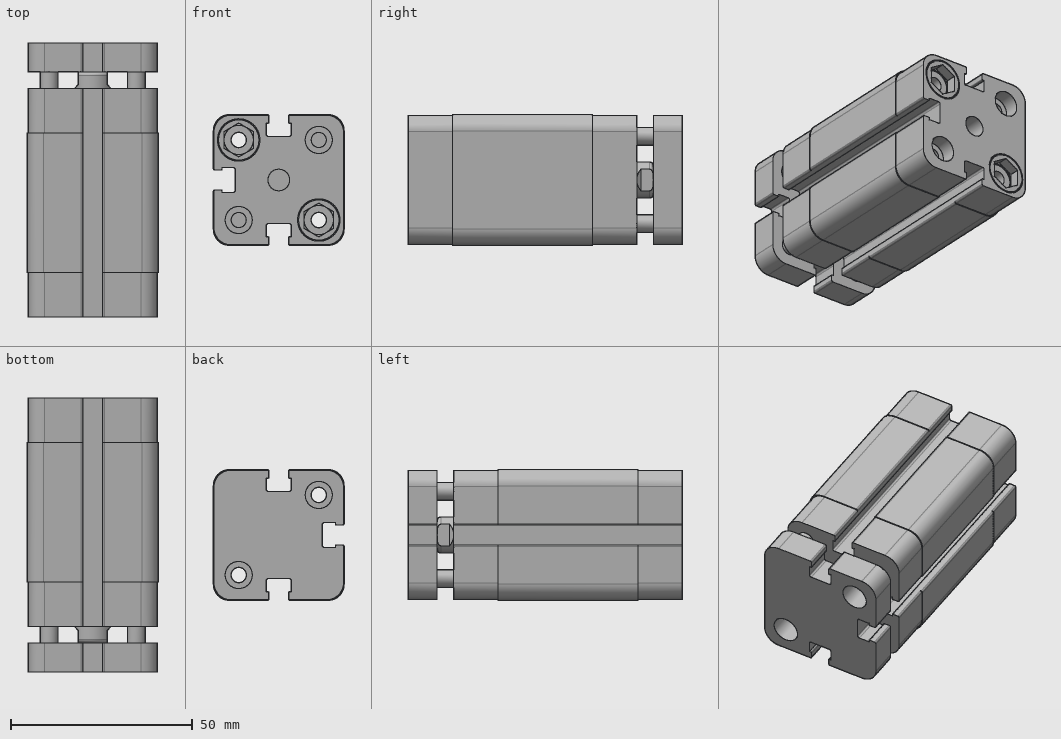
import cadquery as cq
import math

total_length = 75.5
barrel_side = 36.1
cap_side = 35.6
corner_radius = 4.5
plate_thickness = 8.0
rod_gap = 4.5
cap_length = 12.2

plate_start = total_length - plate_thickness
body_end = plate_start - rod_gap
barrel_end = body_end - cap_length

slot_mouth_width = 5.4
slot_inner_width = 6.8
slot_ledge_height = 15.6
slot_floor_height = 12.0
slot_edge_radius = 0.45
slot_floor_radius = 0.5
slot_lip_radius = 0.2
slot_angles = (0, 90, 180)

hole_offset = 11.0
center_hole_diameter = 6.0
center_hole_depth = 9.05
port_diameter = 7.5
port_depth = 4.5
through_diameter = 4.15
pilot_depth = cap_length
groove_outer_diameter = 11.7
groove_inner_diameter = 11.1
groove_depth = 0.75
socket_across_flats = 8.1
socket_depth = 3.0
socket_relief_depth = 3.5
plate_hole_diameter = 7.5

pin_offset = 12.0
pin_diameter = 5.0
rod_diameter = 10.0
rod_across_flats = 8.0
rod_end_radius = 1.0
rod_flat_runout = 1.1

screw_corners = ((-hole_offset, hole_offset), (hole_offset, -hole_offset))
port_corners = ((-hole_offset, -hole_offset), (hole_offset, hole_offset))
pin_corners = ((-pin_offset, -pin_offset), (pin_offset, pin_offset))


def section(y):
    """Sketch plane across the cylinder at y: local x is X, local y is Z, negative extrusion runs toward +Y."""
    return cq.Workplane(cq.Plane(origin=(0, y, 0), xDir=(1, 0, 0), normal=(0, -1, 0)))


def rod(points, diameter, start, end):
    """Round bars along Y, from start to end."""
    return section(start).pushPoints(points).circle(diameter / 2).extrude(start - end)


def block(side, start, end):
    """Square bar with rounded corners."""
    bar = section(start).rect(side, side).extrude(start - end)
    return bar.edges("|Y").fillet(corner_radius)


def slot(side, start, end):
    """T-slot cutter in the top side, with a rounded mouth, rounded lips and rounded floor corners."""
    surface = side / 2
    half_width = slot_mouth_width / 2
    flare = half_width + slot_edge_radius
    shoulder = surface - slot_edge_radius
    arc_inset = slot_edge_radius * (1 - math.sqrt(0.5))
    mouth = (
        section(start)
        .moveTo(-flare, surface)
        .threePointArc((-half_width - arc_inset, surface - arc_inset), (-half_width, shoulder))
        .lineTo(-half_width, slot_floor_height)
        .lineTo(half_width, slot_floor_height)
        .lineTo(half_width, shoulder)
        .threePointArc((half_width + arc_inset, surface - arc_inset), (flare, surface))
        .close()
        .extrude(start - end)
    )
    height = slot_ledge_height - slot_floor_height
    inner = (
        section(start)
        .center(0, slot_floor_height + height / 2)
        .rect(slot_inner_width, height)
        .extrude(start - end)
        .edges("|Y and <Z")
        .fillet(slot_floor_radius)
    )
    cutter = mouth.union(inner)
    middle = (start + end) / 2
    for x in (-half_width, half_width):
        lip_edge = cq.NearestToPointSelector((x, middle, slot_ledge_height))
        cutter = cutter.edges(lip_edge).fillet(slot_lip_radius)
    return cutter


def slotted_block(side, start, end):
    """Length of the square profile with its T-slots."""
    bar = block(side, start, end)
    cutter = slot(side, start, end)
    for angle in slot_angles:
        bar = bar.cut(cutter.rotate((0, 0, 0), (0, 1, 0), -angle))
    return bar


def piston_rod():
    """Piston rod with a rounded end and two wrench flats that slope out to the full diameter."""
    bar = rod([(0, 0)], rod_diameter, body_end, plate_start)
    bar = bar.faces(">Y").edges().fillet(rod_end_radius)
    flat = rod_across_flats / 2
    rise = rod_diameter / 2 - flat
    cutter = (
        cq.Workplane("XY")
        .moveTo(flat, plate_start)
        .lineTo(flat, body_end + rod_flat_runout)
        .lineTo(flat + rise, body_end)
        .lineTo(flat + rise, plate_start)
        .close()
        .extrude(rod_diameter / 2, both=True)
    )
    return bar.cut(cutter).cut(cutter.mirror("YZ"))


def screw_recess():
    """Ring groove around each screw head, its hexagon socket and the bore behind it."""
    groove = rod(screw_corners, groove_outer_diameter, 0, groove_depth)
    groove = groove.cut(rod(screw_corners, groove_inner_diameter, 0, groove_depth))
    across_corners = socket_across_flats / math.cos(math.pi / 6)
    socket = (
        cq.Workplane("XY")
        .polygon(6, across_corners)
        .extrude(socket_depth)
        .rotate((0, 0, 0), (0, 0, 1), 30)
        .rotate((0, 0, 0), (1, 0, 0), -90)
    )
    recess = groove.union(rod(screw_corners, socket_across_flats, 0, socket_relief_depth))
    for x, z in screw_corners:
        recess = recess.union(socket.translate((x, 0, z)))
    return recess.union(rod(screw_corners, through_diameter, 0, body_end))


body = slotted_block(cap_side, 0, cap_length)
body = body.union(slotted_block(barrel_side, cap_length, barrel_end))
body = body.union(slotted_block(cap_side, barrel_end, body_end))

body = body.cut(rod([(0, 0)], center_hole_diameter, 0, center_hole_depth))
body = body.cut(rod(port_corners, port_diameter, 0, port_depth))
body = body.cut(rod(port_corners, through_diameter, 0, pilot_depth))
body = body.cut(screw_recess())

plate = slotted_block(cap_side, plate_start, total_length)
plate = plate.cut(rod(screw_corners, plate_hole_diameter, plate_start, total_length))

result = body.union(plate).union(piston_rod())
result = result.union(rod(pin_corners, pin_diameter, body_end, plate_start))